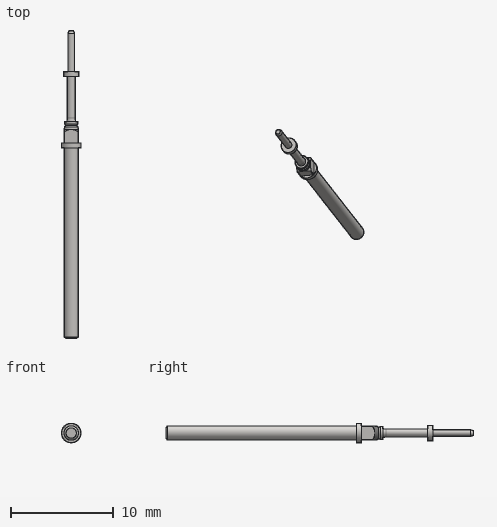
import cadquery as cq

overall_length = 29.9

barrel_diameter = 1.4
barrel_length = 18.5
barrel_chamfer_depth = 0.2
barrel_chamfer_length = 0.15

collar_diameter = 1.9
collar_width = 0.5

square_side = 1.4
square_length = 1.1
lead_in_length = 0.2
shoulder_large_diameter = square_side
shoulder_small_diameter = 1.34
shoulder_length = 0.23

groove_diameter = 1.1
groove_width = 0.3
ring_diameter = 1.3
ring_width = 0.24

neck_root_diameter = 0.86
neck_length = 0.33
shaft_diameter = 0.8
flange_diameter = 1.5
flange_width = 0.5
pin_diameter = 0.66
pin_length = 3.97
tip_diameter = 0.45
tip_length = 0.3

rear_end = -overall_length / 2
tip_end = overall_length / 2
collar_rear = rear_end + barrel_length
collar_front = collar_rear + collar_width
square_front = collar_front + square_length
lead_in_front = square_front + lead_in_length
shoulder_front = lead_in_front + shoulder_length
groove_bottom = shoulder_front + groove_width / 2
groove_front = shoulder_front + groove_width
ring_front = groove_front + ring_width
neck_front = ring_front + neck_length
flange_front = tip_end - pin_length
flange_rear = flange_front - flange_width


def cone(start, end, start_diameter, end_diameter):
    """Solid of revolution about Y, straight or tapered, between two stations."""
    profile = [
        (0, start),
        (start_diameter / 2, start),
        (end_diameter / 2, end),
        (0, end),
    ]
    return cq.Workplane("XY").polyline(profile).close().revolve(360, (0, 0), (0, 1))


def cylinder(start, end, diameter):
    """Cylinder about Y between two stations."""
    return cone(start, end, diameter, diameter)


def make_barrel():
    """Long round barrel with a chamfered rear edge."""
    chamfer_front = rear_end + barrel_chamfer_length
    end_face_diameter = barrel_diameter - 2 * barrel_chamfer_depth
    barrel = cylinder(chamfer_front, collar_rear, barrel_diameter)
    return barrel.union(cone(rear_end, chamfer_front, end_face_diameter, barrel_diameter))


def make_square_section():
    """Square with corners rounded to the collar diameter and a conical lead-in."""
    round_body = cylinder(collar_front, square_front, collar_diameter)
    lead_in = cone(square_front, lead_in_front, collar_diameter, shoulder_large_diameter)
    length = lead_in_front - collar_front
    square = cq.Workplane("XY").box(square_side, length, square_side)
    square = square.translate((0, collar_front + length / 2, 0))
    return round_body.union(lead_in).intersect(square)


def make_contact_pin():
    """Thin contact pin with a tapered tip."""
    taper_start = tip_end - tip_length
    pin = cylinder(flange_front, taper_start, pin_diameter)
    return pin.union(cone(taper_start, tip_end, pin_diameter, tip_diameter))


round_sections = [
    (collar_rear, collar_front, collar_diameter, collar_diameter),
    (lead_in_front, shoulder_front, shoulder_large_diameter, shoulder_small_diameter),
    (shoulder_front, groove_bottom, shoulder_small_diameter, groove_diameter),
    (groove_bottom, groove_front, groove_diameter, ring_diameter),
    (groove_front, ring_front, ring_diameter, ring_diameter),
    (ring_front, neck_front, neck_root_diameter, shaft_diameter),
    (neck_front, flange_rear, shaft_diameter, shaft_diameter),
    (flange_rear, flange_front, flange_diameter, flange_diameter),
]

result = make_barrel().union(make_square_section()).union(make_contact_pin())
for section in round_sections:
    result = result.union(cone(*section))